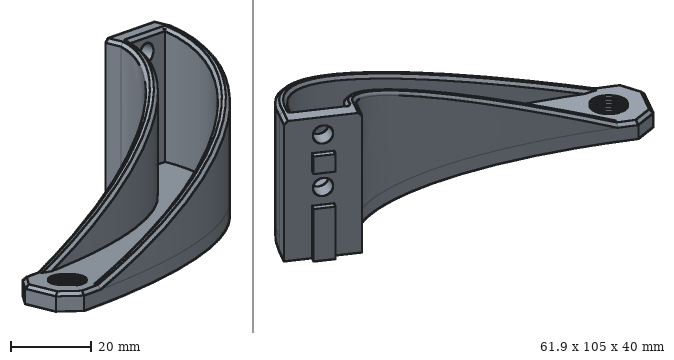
import cadquery as cq
import math

width = 20.0
half_width = width / 2
plate_thickness = 5.0
plate_height = 40.0

floor_thickness = 5.0
wall_thickness = 3.0
edge_chamfer = 1.0
tip_y = -95.0
tip_inner_x = 40.24
tip_outer_x = tip_inner_x + width
tip_corner = 5.0

inner_handles = (17.5, 51.6)
outer_handles = (36.4, 58.5)
inner_heights = (plate_height, 35.9, 20.7, 1.0)
outer_heights = (plate_height, 34.9, 18.3, 1.6)
curve_samples = 24

screw_diameter = 5.15
screw_heights = (20.0, 35.0)
lug_depth = 1.75
lug_width = 5.6
lug_spans = ((0.0, 15.0), (25.0, 30.0))

thread_minor = 9.04
thread_major = 10.15
thread_pitch = 1.0
groove_root = thread_pitch / 8
thread_start_angle = 90.0
thread_x = (tip_inner_x + tip_outer_x) / 2
thread_y = tip_y + half_width

overrun = 5.0


def side_plan(side):
    """Plan control points of one side of the arm: side is -1 for inner, +1 for outer."""
    start_handle, end_handle = inner_handles if side < 0 else outer_handles
    end_x = tip_inner_x if side < 0 else tip_outer_x
    start_y = side * half_width
    return [
        (plate_thickness, start_y),
        (plate_thickness + start_handle, start_y),
        (end_x, tip_y + end_handle),
        (end_x, tip_y),
    ]


def bezier_value(controls, t):
    a, b, c, d = controls
    s = 1 - t
    return a * s**3 + 3 * b * s**2 * t + 3 * c * s * t**2 + d * t**3


def bezier_slope(controls, t):
    a, b, c, d = controls
    s = 1 - t
    return 3 * ((b - a) * s**2 + 2 * (c - b) * s * t + (d - c) * t**2)


def wall_edge(side, inset, heights):
    """Curve at a plan distance inside one side of the arm, following the given heights."""
    plan = side_plan(side)
    if inset == 0:
        return cq.Edge.makeBezier([cq.Vector(x, y, z) for (x, y), z in zip(plan, heights)])
    xs, ys = zip(*plan)
    points = []
    for i in range(curve_samples + 1):
        t = i / curve_samples
        dx = bezier_slope(xs, t)
        dy = bezier_slope(ys, t)
        shift = side * inset / math.hypot(dx, dy)
        x = bezier_value(xs, t) + shift * dy
        y = bezier_value(ys, t) - shift * dx
        points.append(cq.Vector(x, y, bezier_value(heights, t)))
    return cq.Edge.makeSpline(points)


def wall(side):
    """One side wall, chamfered on both top edges and sunk below the floor."""
    top = inner_heights if side < 0 else outer_heights
    shoulder = tuple(z - edge_chamfer for z in top)
    sunk = (-overrun,) * len(top)
    rails = [
        wall_edge(side, 0, sunk),
        wall_edge(side, 0, shoulder),
        wall_edge(side, edge_chamfer, top),
        wall_edge(side, wall_thickness - edge_chamfer, top),
        wall_edge(side, wall_thickness, shoulder),
        wall_edge(side, wall_thickness, sunk),
    ]
    faces = []
    for first, second in zip(rails, rails[1:] + rails[:1]):
        faces.append(cq.Face.makeRuledSurface(first, second))
    for corners in ([r.startPoint() for r in rails], [r.endPoint() for r in rails]):
        faces.append(cq.Face.makeFromWires(cq.Wire.makePolygon(corners, close=True)))
    solid = cq.Solid.makeSolid(cq.Shell.makeShell(faces)).fix()
    reach = 2 * (tip_outer_x - tip_y)
    above_bottom = cq.Workplane().box(reach, reach, plate_height, centered=(True, True, False))
    return cq.Workplane(obj=solid).intersect(above_bottom).cut(tip_corners())


def tip_corners():
    """Two triangular prisms that cut the corners off the tip."""
    reach = tip_corner + overrun
    prisms = cq.Workplane()
    for x, inward in ((tip_inner_x, 1), (tip_outer_x, -1)):
        triangle = [
            (x - inward * overrun, tip_y + reach),
            (x + inward * reach, tip_y - overrun),
            (x - inward * overrun, tip_y - overrun),
        ]
        prisms = prisms.union(cq.Workplane().polyline(triangle).close().extrude(plate_height))
    return prisms


def arm_floor():
    """Flat floor of the arm, chamfered along the top of its sides and tip."""
    flat = (0.0,) * 4
    inner = wall_edge(-1, 0, flat)
    outer = wall_edge(1, 0, flat)
    edges = [
        inner,
        cq.Edge.makeLine(inner.endPoint(), outer.endPoint()),
        outer,
        cq.Edge.makeLine(outer.startPoint(), inner.startPoint()),
    ]
    outline = cq.Wire.assembleEdges(edges)
    floor = cq.Solid.extrudeLinear(outline, [], cq.Vector(0, 0, floor_thickness))
    floor = cq.Workplane(obj=floor).cut(tip_corners())
    return floor.faces(">Z").edges("not <X").chamfer(edge_chamfer)


def plate():
    """Mounting plate with chamfered top sides and a bevel down into the pocket."""
    body = cq.Workplane().box(plate_thickness, width, plate_height, centered=(False, True, False))
    body = body.faces(">Z").edges("|X").chamfer(edge_chamfer)
    pocket_width = width - 2 * wall_thickness
    bevel = (
        cq.Workplane()
        .workplane(offset=plate_height - edge_chamfer)
        .center(plate_thickness + overrun / 2, 0)
        .rect(overrun, pocket_width)
        .extrude(edge_chamfer, taper=-45)
    )
    return body.cut(bevel)


def lugs():
    """Rectangular lugs standing out from the back of the plate."""
    blocks = cq.Workplane()
    for bottom, top in lug_spans:
        block = cq.Workplane().box(lug_depth, lug_width, top - bottom, centered=(False, True, False))
        blocks = blocks.union(block.translate((-lug_depth, 0, bottom)))
    return blocks


def screw_holes():
    """Drills through the plate into the pocket."""
    points = [(0, height) for height in screw_heights]
    return cq.Workplane("YZ").pushPoints(points).circle(screw_diameter / 2).extrude(plate_thickness)


def tip_thread():
    """Helical V groove running out of both faces of the floor, and the through bore it lines."""
    bore = cq.Workplane().circle(thread_minor / 2).extrude(floor_thickness)
    minor = thread_minor / 2
    inside = minor - groove_root
    major = thread_major / 2
    half_mouth = (thread_pitch - groove_root) / 2
    turns_height = floor_thickness + 2 * thread_pitch
    helix = cq.Wire.makeHelix(thread_pitch, turns_height, minor)
    groove = (
        cq.Workplane("XZ")
        .polyline([
            (inside, -half_mouth),
            (major, -groove_root / 2),
            (major, groove_root / 2),
            (inside, half_mouth),
        ])
        .close()
        .sweep(cq.Workplane(obj=helix), isFrenet=True)
        .rotate((0, 0, 0), (0, 0, 1), thread_start_angle)
        .translate((0, 0, -thread_pitch))
    )
    return groove, bore


result = plate().union(arm_floor())
for side in (-1, 1):
    result = result.union(wall(side))
result = result.union(lugs()).cut(screw_holes())
for tool in tip_thread():
    result = result.cut(tool.translate((thread_x, thread_y, 0)))